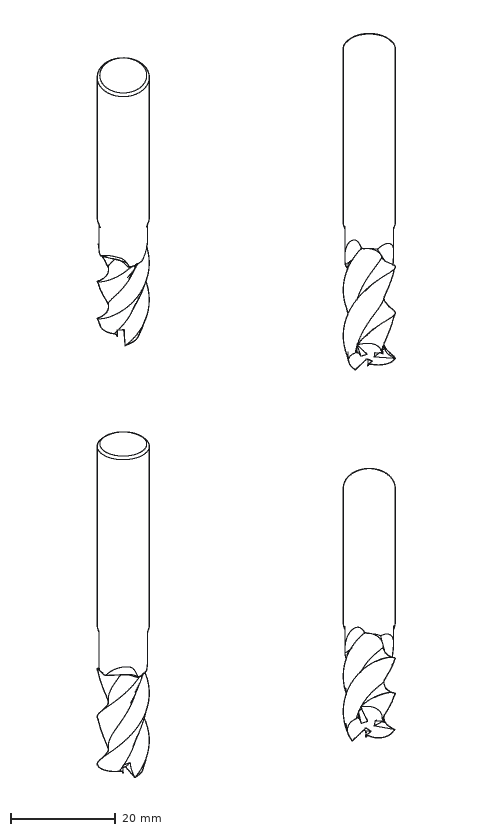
import cadquery as cq
import math

TOTAL_LENGTH = 72.0
SHANK_RADIUS = 5.005
TOP_CHAMFER = 0.5
NECK_RADIUS = 4.7
SHANK_END_Z = 31.25
NECK_TAPER_LENGTH = 1.1

CUTTER_LENGTH = 22.1
CUTTER_RADIUS = SHANK_RADIUS
FLUTE_COUNT = 3
FLUTE_PITCH = 360 / FLUTE_COUNT
HELIX_LEAD = 31.8
FIRST_EDGE_ANGLE = 59.0

LAND_ANGLE = 10.0
LAND_END_RADIUS = 4.75
BACK_MID_ANGLE = 42.0
BACK_MID_RADIUS = 3.95
BACK_END_ANGLE = 74.0
BACK_END_RADIUS = 2.9
FLUTE_MID_ANGLE = 94.0
RAKE_START_ANGLE = 114.0
RAKE_START_RADIUS = 4.2
CORE_RADIUS = 2.95

RUNOUT_LENGTH = 2.8
RUNOUT_LAG_ANGLE = 32.0
RUNOUT_OVERSHOOT = 0.35
RUNOUT_WALL_OFFSET = 2.7
RUNOUT_CORNER_RADIUS = 1.8

DISH_DEPTH = 0.3
GASH_HEIGHT = 4.3
GASH_WIDTH = 1.3
GASH_INNER_RADIUS = 0.7
END_RELIEF_RISE = 0.7


def polar(radius, angle):
    """Return the XY point at a radius and an angle in degrees."""
    return (radius * math.cos(math.radians(angle)), radius * math.sin(math.radians(angle)))


def tooth_section(z):
    """Closed cross-section of the toothed bar at a height on the helix."""
    start_angle = FIRST_EDGE_ANGLE + 360 * z / HELIX_LEAD
    section = cq.Workplane("XY", origin=(0, 0, z)).moveTo(*polar(CUTTER_RADIUS, start_angle))
    for tooth in range(FLUTE_COUNT):
        edge = start_angle + tooth * FLUTE_PITCH
        section = (
            section.lineTo(*polar(LAND_END_RADIUS, edge + LAND_ANGLE))
            .threePointArc(
                polar(BACK_MID_RADIUS, edge + BACK_MID_ANGLE),
                polar(BACK_END_RADIUS, edge + BACK_END_ANGLE),
            )
            .threePointArc(
                polar(CORE_RADIUS, edge + FLUTE_MID_ANGLE),
                polar(RAKE_START_RADIUS, edge + RAKE_START_ANGLE),
            )
            .lineTo(*polar(CUTTER_RADIUS, edge + FLUTE_PITCH))
        )
    return section.close()


def end_dish():
    """Shallow cone that hollows the end face toward the axis."""
    return (
        cq.Workplane("XZ")
        .polyline([(0, 0), (CUTTER_RADIUS, 0), (0, DISH_DEPTH)])
        .close()
        .revolve(360, (0, 0, 0), (0, 1, 0))
    )


def end_gash(edge_angle):
    """Notch ahead of one end tooth, with a floor that rises from the core to the rim."""
    return (
        cq.Workplane("XZ")
        .polyline([(GASH_INNER_RADIUS, 0), (CUTTER_RADIUS, 0), (CUTTER_RADIUS, GASH_HEIGHT)])
        .close()
        .extrude(GASH_WIDTH)
        .rotate((0, 0, 0), (0, 0, 1), edge_angle)
    )


def end_relief(edge_angle):
    """Wedge that lifts the end face of one tooth behind its end cutting edge."""
    return (
        cq.Workplane("YZ")
        .polyline([(0, 0), (CUTTER_RADIUS, 0), (CUTTER_RADIUS, END_RELIEF_RISE)])
        .close()
        .extrude(CUTTER_RADIUS)
        .rotate((0, 0, 0), (0, 0, 1), edge_angle)
    )


def make_cutter():
    """Fluted cutting head."""
    twist_angle = 360 * CUTTER_LENGTH / HELIX_LEAD
    cutter = tooth_section(0).twistExtrude(CUTTER_LENGTH, twist_angle).cut(end_dish())
    for tooth in range(FLUTE_COUNT):
        edge_angle = FIRST_EDGE_ANGLE + tooth * FLUTE_PITCH
        cutter = cutter.cut(end_gash(edge_angle)).cut(end_relief(edge_angle))
    return cutter


def flute_runout(edge_angle):
    """Scoop ahead of one cutting edge: a flat floor rising to the neck surface and one rounded side wall."""
    lean = math.degrees(math.atan2(NECK_RADIUS - CORE_RADIUS, RUNOUT_LENGTH))
    scoop_length = RUNOUT_OVERSHOOT + math.hypot(NECK_RADIUS - CORE_RADIUS, RUNOUT_LENGTH)
    hinge = (CORE_RADIUS, 0, CUTTER_LENGTH)
    hinge_end = (CORE_RADIUS, 1, CUTTER_LENGTH)
    return (
        cq.Workplane("XY", origin=hinge)
        .moveTo(0, -SHANK_RADIUS)
        .lineTo(SHANK_RADIUS, -SHANK_RADIUS)
        .lineTo(SHANK_RADIUS, RUNOUT_WALL_OFFSET)
        .lineTo(RUNOUT_CORNER_RADIUS, RUNOUT_WALL_OFFSET)
        .radiusArc((0, RUNOUT_WALL_OFFSET - RUNOUT_CORNER_RADIUS), -RUNOUT_CORNER_RADIUS)
        .close()
        .extrude(scoop_length)
        .rotate(hinge, hinge_end, lean)
        .rotate((0, 0, 0), (0, 0, 1), edge_angle - RUNOUT_LAG_ANGLE)
    )


def make_shank():
    """Cylindrical shank with its reduced neck and the flute runouts."""
    neck_top_z = SHANK_END_Z - NECK_TAPER_LENGTH
    shank = (
        cq.Workplane("XZ")
        .moveTo(0, CUTTER_LENGTH)
        .lineTo(NECK_RADIUS, CUTTER_LENGTH)
        .lineTo(NECK_RADIUS, neck_top_z)
        .lineTo(SHANK_RADIUS, SHANK_END_Z)
        .lineTo(SHANK_RADIUS, TOTAL_LENGTH - TOP_CHAMFER)
        .lineTo(SHANK_RADIUS - TOP_CHAMFER, TOTAL_LENGTH)
        .lineTo(0, TOTAL_LENGTH)
        .close()
        .revolve(360, (0, 0, 0), (0, 1, 0))
    )
    last_edge_angle = FIRST_EDGE_ANGLE + 360 * CUTTER_LENGTH / HELIX_LEAD
    for tooth in range(FLUTE_COUNT):
        shank = shank.cut(flute_runout(last_edge_angle + tooth * FLUTE_PITCH))
    return shank


shank = make_shank()
cutter = make_cutter()
result = cq.Compound.makeCompound([*shank.solids().vals(), *cutter.solids().vals()])